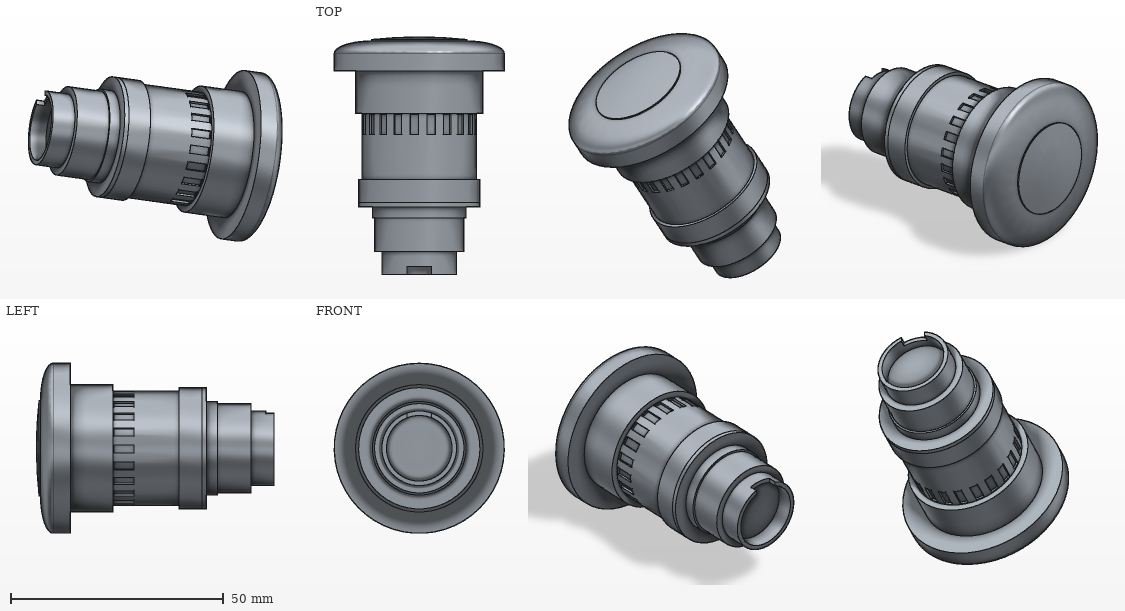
import cadquery as cq


tip_radius = 8.8
tip_length = 5.4
barrel_radius = 10.5
barrel_end = 13.35
step_radius = 11.0
flange_radius = 14.25
flange_back = 15.95
flange_front = 17.0
recess_radius = 7.7
recess_depth = 4.0
notch_width = 5.8
notch_depth = 1.95

ring_radius = flange_radius
ring_front = 22.35
neck_radius = 13.45
neck_front = 37.9
bezel_radius = 15.0
head_radius = 20.0
head_back = 47.9
rim_front = 51.9
head_front = 54.95

slot_count = 21
slot_pitch = 360 / slot_count
first_slot_angle = -0.7
slot_width = 1.95
slot_back = 33.0
slot_front = 37.6
slot_depth = 0.55

disc_radius = 11.2
disc_edge = 55.3
crown_front = 55.9


def cylinder(radius, start, end):
    """Solid cylinder about the Y axis between two Y positions."""
    return cq.Workplane("XZ", origin=(0, start, 0)).circle(radius).extrude(start - end)


def revolved(profile):
    """Turn a half profile in the YZ plane about the Y axis."""
    return profile.close().revolve(360, (0, 0, 0), (1, 0, 0))


def make_socket():
    """Stepped plug with a blind recess and a key notch through the top of its wall."""
    outline = (
        cq.Workplane("YZ")
        .lineTo(0, tip_radius)
        .lineTo(tip_length, tip_radius)
        .lineTo(tip_length, barrel_radius)
        .lineTo(barrel_end, barrel_radius)
        .lineTo(barrel_end, step_radius)
        .lineTo(flange_back, step_radius)
        .lineTo(flange_back, flange_radius)
        .lineTo(flange_front, flange_radius)
        .lineTo(flange_front, 0)
    )
    recess = cylinder(recess_radius, 0, recess_depth)
    notch = cq.Workplane("XY").box(
        notch_width, notch_depth, tip_radius, centered=(True, False, False)
    )
    return revolved(outline).cut(recess).cut(notch)


def make_slot_cutters():
    """Ring of blocks that reach into the neck, the first one on the -X side."""
    floor_radius = neck_radius - slot_depth
    block = cq.Workplane("XY").box(
        bezel_radius, slot_front - slot_back, slot_width, centered=(False, False, True)
    ).translate((-bezel_radius, slot_back, 0))
    core = cylinder(floor_radius, slot_back, slot_front)
    cutter = block.cut(core)
    return [
        cutter.rotate((0, 0, 0), (0, 1, 0), first_slot_angle + index * slot_pitch)
        for index in range(slot_count)
    ]


def make_operator():
    """Collar ring, slotted neck, bezel and mushroom head with an elliptical shoulder."""
    outline = (
        cq.Workplane("YZ")
        .moveTo(flange_front, 0)
        .lineTo(flange_front, ring_radius)
        .lineTo(ring_front, ring_radius)
        .lineTo(ring_front, neck_radius)
        .lineTo(neck_front, neck_radius)
        .lineTo(neck_front, bezel_radius)
        .lineTo(head_back, bezel_radius)
        .lineTo(head_back, head_radius)
        .lineTo(rim_front, head_radius)
        .ellipseArc(head_front - rim_front, head_radius - disc_radius, 0, 90, sense=-1)
        .lineTo(head_front, 0)
    )
    operator = revolved(outline)
    for cutter in make_slot_cutters():
        operator = operator.cut(cutter)
    return operator


def make_disc():
    """Disc with a straight edge and a shallow spherical front."""
    crown_height = crown_front - disc_edge
    crown_radius = (disc_radius**2 + crown_height**2) / (2 * crown_height)
    outline = (
        cq.Workplane("YZ")
        .moveTo(head_front, 0)
        .lineTo(head_front, disc_radius)
        .lineTo(disc_edge, disc_radius)
        .radiusArc((crown_front, 0), crown_radius)
    )
    return revolved(outline)


socket = make_socket()
operator = make_operator()
disc = make_disc()

result = cq.Compound.makeCompound([socket.val(), operator.val(), disc.val()])